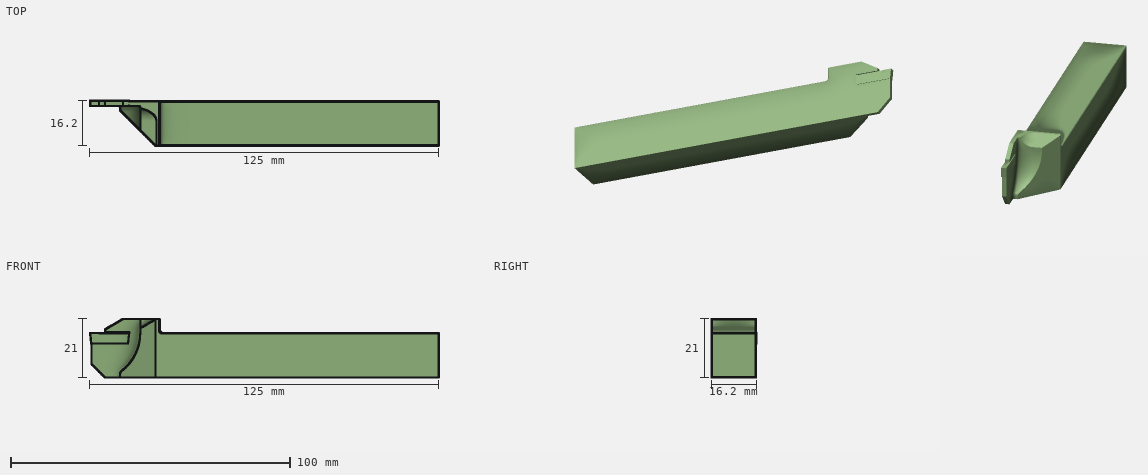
import cadquery as cq
import math

total_length = 125.0
shank_size = 16.0
edge_chamfer = 0.2

head_height = 21.0
head_back = 25.0
step_fillet = 1.0
blade_front = 0.5
blade_thickness = 1.6
blade_face = shank_size - blade_thickness
blade_chamfer = 4.9
jaw_front = 5.4
jaw_nose_top = 17.2
jaw_slope_end = 11.8

diagonal_start = 23.5

wall_top_x = 18.0
wall_radius = 17.2
wall_foot_x = 10.8
wall_foot_round = 1.5
wall_fillet = 0.8

channel_end = 23.8
channel_angle = 30.0
channel_flat_width = 9.0
channel_radius = 5.0

insert_length = 14.0
insert_height = 3.8
insert_thickness = 2.0
insert_overhang = 0.2
insert_relief = 0.4
insert_top = shank_size
insert_bottom = insert_top - insert_height
insert_land = 3.2
insert_step = 0.1
jaw_underside = 16.2

PICK = 0.1
CUT_MARGIN = 6.2


def extrude_along_y(outline, y_start, y_end):
    """Extrude a closed XZ outline, placed on a plane, between two Y positions."""
    return outline(cq.Workplane("XZ", origin=(0, y_end, 0))).extrude(y_end - y_start)


def holder_outline(plane):
    return (
        plane.moveTo(blade_front, blade_chamfer)
        .lineTo(blade_front + blade_chamfer, 0)
        .lineTo(total_length, 0)
        .lineTo(total_length, shank_size)
        .lineTo(head_back, shank_size)
        .lineTo(head_back, head_height)
        .lineTo(jaw_slope_end, head_height)
        .lineTo(jaw_front, jaw_nose_top)
        .lineTo(jaw_front, jaw_underside)
        .lineTo(blade_front, jaw_underside)
        .close()
    )


def recess_outline(plane):
    """Space in front of the curved wall: straight top, arc, straight foot."""
    center_x = wall_top_x - wall_radius
    foot_angle = math.acos((wall_foot_x - center_x) / wall_radius)
    foot_z = shank_size - wall_radius * math.sin(foot_angle)
    middle_x = center_x + wall_radius * math.cos(foot_angle / 2)
    middle_z = shank_size - wall_radius * math.sin(foot_angle / 2)
    return (
        plane.moveTo(-CUT_MARGIN, -CUT_MARGIN)
        .lineTo(wall_foot_x, -CUT_MARGIN)
        .lineTo(wall_foot_x, foot_z)
        .threePointArc((middle_x, middle_z), (wall_top_x, shank_size))
        .lineTo(wall_top_x, head_height + CUT_MARGIN)
        .lineTo(-CUT_MARGIN, head_height + CUT_MARGIN)
        .close()
    )


def insert_outline(plane):
    """Front and back lean alike; the top steps down slightly behind the cutting land."""
    return (
        plane.moveTo(0, insert_top)
        .lineTo(insert_relief, insert_bottom)
        .lineTo(insert_length - insert_relief, insert_bottom)
        .lineTo(insert_length, insert_top - insert_step)
        .lineTo(insert_land, insert_top - insert_step)
        .lineTo(insert_land, insert_top)
        .close()
    )


def seat_outline(plane):
    """Pocket for the insert, open to the front and up to the jaw."""
    return (
        plane.moveTo(-CUT_MARGIN, insert_bottom)
        .lineTo(insert_length - insert_relief, insert_bottom)
        .lineTo(insert_length, insert_top - insert_step)
        .lineTo(insert_length, jaw_underside)
        .lineTo(-CUT_MARGIN, jaw_underside)
        .close()
    )


def make_diagonal_cutter():
    reach = diagonal_start + CUT_MARGIN
    return (
        cq.Workplane("XY", origin=(0, 0, -CUT_MARGIN))
        .polyline([(reach, -CUT_MARGIN), (diagonal_start - blade_face, blade_face),
                   (-CUT_MARGIN, blade_face), (-CUT_MARGIN, -CUT_MARGIN)])
        .close()
        .extrude(head_height + 2 * CUT_MARGIN)
    )


def make_recess_cutter():
    """Curved recess, its edge rounded to leave a fillet at the blade face."""
    recess = extrude_along_y(recess_outline, -CUT_MARGIN, blade_face)
    foot_corner = cq.selectors.BoxSelector(
        (wall_foot_x - PICK, -2 * CUT_MARGIN, 0),
        (wall_foot_x + PICK, blade_face, shank_size),
    )
    recess = recess.edges("|Y").edges(foot_corner).fillet(wall_foot_round)
    wall_edges = cq.selectors.BoxSelector(
        (wall_foot_x - PICK - wall_foot_round, blade_face - PICK, -2 * CUT_MARGIN),
        (wall_top_x + PICK, blade_face + PICK, head_height + 2 * CUT_MARGIN),
    )
    return recess.edges(wall_edges).fillet(wall_fillet)


def make_channel_cutter():
    """Channel with a flat floor and a rounded +Y side, falling toward the front."""
    slope = math.radians(channel_angle)
    section = cq.Plane(
        origin=(channel_end, 0, head_height),
        xDir=(0, 1, 0),
        normal=(math.cos(slope), 0, math.sin(slope)),
    )
    side = channel_flat_width + channel_radius
    diagonal = channel_radius * math.sqrt(0.5)
    return (
        cq.Workplane(section)
        .workplane(offset=-3 * CUT_MARGIN)
        .moveTo(-CUT_MARGIN, 0)
        .lineTo(channel_flat_width, 0)
        .threePointArc((channel_flat_width + diagonal, channel_radius - diagonal),
                       (side, channel_radius))
        .lineTo(side, 2 * CUT_MARGIN)
        .lineTo(-CUT_MARGIN, 2 * CUT_MARGIN)
        .close()
        .extrude(4 * CUT_MARGIN)
    )


def make_holder():
    """One small chamfer runs around the shank end, its top edges and the back of the head."""
    body = extrude_along_y(holder_outline, 0, shank_size)
    step_corner = cq.selectors.BoxSelector(
        (head_back - PICK, -CUT_MARGIN, shank_size - PICK),
        (head_back + PICK, shank_size + CUT_MARGIN, shank_size + PICK),
    )
    body = body.edges(step_corner).fillet(step_fillet)
    body = body.faces(">X").edges().chamfer(edge_chamfer)
    back_rim = cq.selectors.BoxSelector(
        (head_back - PICK, -CUT_MARGIN, shank_size - PICK),
        (total_length - 2 * edge_chamfer, shank_size + CUT_MARGIN, head_height + PICK),
    )
    fillet_seams = cq.selectors.BoxSelector(
        (head_back - PICK, PICK, shank_size - PICK),
        (total_length, shank_size - PICK, shank_size + step_fillet + PICK),
    )
    body = body.edges(back_rim - fillet_seams).chamfer(edge_chamfer)
    body = body.cut(make_diagonal_cutter()).cut(make_recess_cutter()).cut(make_channel_cutter())
    seat = extrude_along_y(seat_outline, -CUT_MARGIN, shank_size + CUT_MARGIN)
    return body.cut(seat)


def make_insert():
    insert_back = shank_size + insert_overhang
    return extrude_along_y(insert_outline, insert_back - insert_thickness, insert_back)


holder = make_holder()
cutting_insert = make_insert()
result = cq.Compound.makeCompound([holder.val(), cutting_insert.val()])